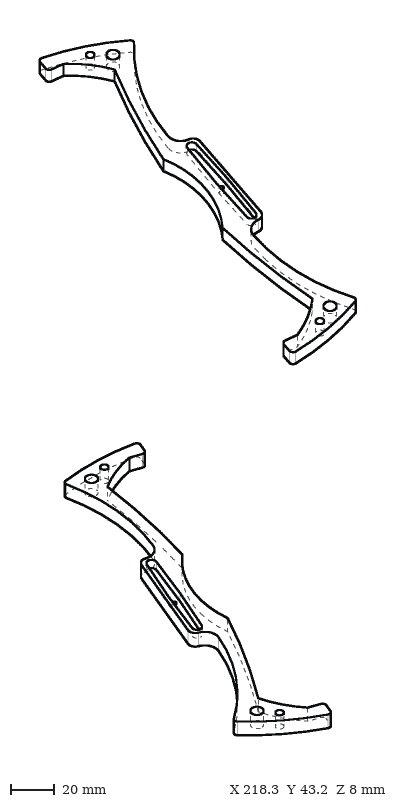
import cadquery as cq

length = 218.3
depth = 43.2
thickness = 8.0
half_length = length / 2

leg_width = 8.5
leg_inner_height = 8.5
leg_inner_x = -half_length + leg_width
foot_radius = 2.0
foot_corner_x = -half_length - 0.26
tip_radius = 1.7
tip_corner_y = depth + 0.8
tip_corner = (-96.0, tip_corner_y)
outer_arc_mid = (-104.8, 22.5)
inner_arc_mid = (-94.0, 18.0)
armpit = (-85.1, 26.5)

underside_mid = (-56.5, 19.9)
arch_foot = (-25.5, 15.3)
arch_crown = (0, 21.8)
arm_top_mid = (-62.9, 28.4)

block_top = 35.5
block_half_width = 30.0
block_corner_radius = 3.7
block_root_radius = 7.0

hole_row_y = 30.8
pocket_half_length = 28.0
pocket_end_radius = 2.5
pocket_middle_half_width = 2.95
pocket_depth = 4.8
drain_diameter = 2.0

large_hole_diameter = 6.1
large_hole_x = 93.5
small_hole_diameter = 4.0
small_hole_x = 99.0
small_hole_y = 21.8


def half_frame():
    """Left half of the frame, closed along X = 0."""
    corner_y = block_top - block_corner_radius
    corner_center_x = -block_half_width + block_corner_radius
    root_end = (-block_half_width - block_root_radius, corner_y - block_root_radius)
    outline = (
        cq.Workplane("XY")
        .moveTo(foot_corner_x, 0)
        .lineTo(leg_inner_x, 0)
        .lineTo(leg_inner_x, leg_inner_height)
        .threePointArc(inner_arc_mid, armpit)
        .threePointArc(underside_mid, arch_foot)
        .radiusArc(arch_crown, arch_radius())
        .lineTo(0, block_top)
        .lineTo(corner_center_x, block_top)
        .radiusArc((-block_half_width, corner_y), -block_corner_radius)
        .radiusArc(root_end, block_root_radius)
        .threePointArc(arm_top_mid, tip_corner)
        .threePointArc(outer_arc_mid, (foot_corner_x, 0))
        .close()
    )
    half = outline.extrude(thickness)
    half = half.edges(at_corner(tip_corner)).fillet(tip_radius)
    for foot_x in (foot_corner_x, leg_inner_x):
        half = half.edges(at_corner((foot_x, 0))).fillet(foot_radius)
    return half


def arch_radius():
    """Radius of the arc through both arch feet and the crown."""
    half_span = arch_crown[0] - arch_foot[0]
    rise = arch_crown[1] - arch_foot[1]
    return (half_span**2 + rise**2) / (2 * rise)


def at_corner(corner):
    """Selector for the vertical edge standing on an outline corner."""
    reach = 0.1
    x, y = corner
    return cq.selectors.BoxSelector(
        (x - reach, y - reach, 0), (x + reach, y + reach, thickness)
    )


def vial_pocket():
    """Round-ended pocket whose sides taper from the middle to the ends."""
    end_x = pocket_half_length - pocket_end_radius
    return (
        cq.Workplane("XY", origin=(0, hole_row_y, thickness - pocket_depth))
        .moveTo(-end_x, -pocket_end_radius)
        .lineTo(0, -pocket_middle_half_width)
        .lineTo(end_x, -pocket_end_radius)
        .threePointArc((pocket_half_length, 0), (end_x, pocket_end_radius))
        .lineTo(0, pocket_middle_half_width)
        .lineTo(-end_x, pocket_end_radius)
        .threePointArc((-pocket_half_length, 0), (-end_x, -pocket_end_radius))
        .close()
        .extrude(pocket_depth)
    )


def through_hole(x, y, diameter):
    return cq.Workplane("XY").center(x, y).circle(diameter / 2).extrude(thickness)


left_half = half_frame()
result = left_half.union(left_half.mirror("YZ")).clean()
result = result.cut(vial_pocket())
result = result.cut(through_hole(0, hole_row_y, drain_diameter))
for side in (-1, 1):
    result = result.cut(through_hole(side * large_hole_x, hole_row_y, large_hole_diameter))
    result = result.cut(through_hole(side * small_hole_x, small_hole_y, small_hole_diameter))